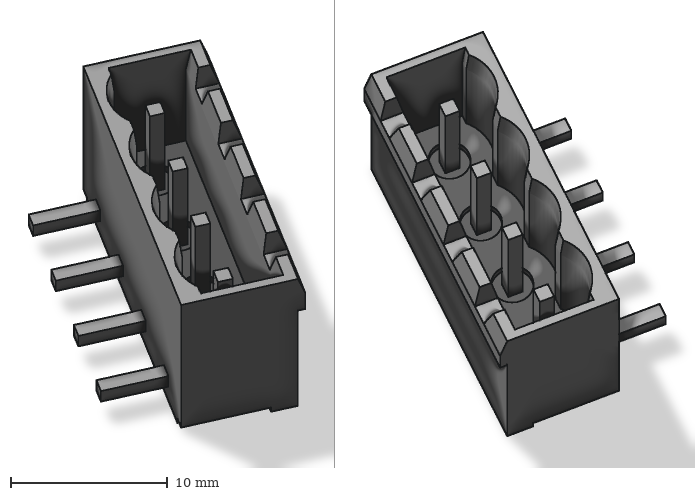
import cadquery as cq


pole_count = 4
pitch = 5.0
pin_size = 1.0
pin_y = 3.8
pin_top_z = 10.2
pin_tail_z = 1.85
pin_tail_length = 4.5

width = 21.6
depth = 7.8
height = 12.0

rail_depth = 0.5
rail_height = 3.0
rail_chamfer_height = 1.5

end_wall = 0.6
floor_z = 3.5
cavity_front_y = 1.71
cavity_back_y = 6.67
cavity_join_y = 2.5
scallop_width = 4.2
scallop_depth = 0.82
lead_in_depth = 1.7
back_lead_in_run = 0.33
front_lead_in_run = 0.2

recess_radius = 1.36
recess_depth = 0.5

notch_depth = 1.5
notch_top_width = 2.15
notch_bottom_width = 1.38

relief_width = 0.8
relief_length = 6.0
relief_height = 0.4

cavity_width = width - 2 * end_wall
pole_positions = [(i - (pole_count - 1) / 2) * pitch for i in range(pole_count)]


def extrude_across(profile_points, length):
    """Extrude a closed (y, z) profile along X, centred on the middle plane."""
    return cq.Workplane("YZ").polyline(profile_points).close().extrude(length / 2, both=True)


def make_housing():
    rail_y = depth + rail_depth
    rail_bottom_z = height - rail_height
    return extrude_across(
        [
            (0, 0),
            (depth, 0),
            (depth, rail_bottom_z),
            (rail_y, rail_bottom_z),
            (rail_y, height - rail_chamfer_height),
            (depth, height),
            (0, height),
        ],
        width,
    )


def front_outline(base_z):
    """Outline of the scalloped front part of the cavity at the given height."""
    half_width = cavity_width / 2
    outline = cq.Workplane("XY", origin=(0, 0, base_z)).moveTo(-half_width, cavity_join_y)
    outline = outline.lineTo(-half_width, cavity_front_y)
    for x in pole_positions:
        outline = outline.lineTo(x - scallop_width / 2, cavity_front_y)
        outline = outline.threePointArc(
            (x, cavity_front_y - scallop_depth),
            (x + scallop_width / 2, cavity_front_y),
        )
    return outline.lineTo(half_width, cavity_front_y).lineTo(half_width, cavity_join_y).close()


def make_front_part():
    """Scalloped front part of the cavity: upright, then slanting forward to the rim."""
    lead_in_z = height - lead_in_depth
    upright = front_outline(floor_z).extrude(lead_in_z - floor_z)
    slant = cq.Vector(0, -front_lead_in_run, lead_in_depth)
    lead_in = cq.Solid.extrudeLinear(front_outline(lead_in_z).val(), [], slant)
    return upright.union(cq.Workplane(lead_in))


def make_cavity():
    lead_in_z = height - lead_in_depth
    back_part = extrude_across(
        [
            (cavity_join_y, floor_z),
            (cavity_back_y, floor_z),
            (cavity_back_y, lead_in_z),
            (cavity_back_y + back_lead_in_run, height),
            (cavity_join_y - front_lead_in_run, height),
            (cavity_join_y, lead_in_z),
        ],
        cavity_width,
    )
    return back_part.union(make_front_part())


def make_recess(x):
    return (
        cq.Workplane("XY", origin=(x, pin_y, floor_z - recess_depth))
        .circle(recess_radius)
        .extrude(recess_depth)
    )


def make_notch(x):
    """Trapezoidal prism running through the back wall and the rail."""
    bottom_z = height - notch_depth
    profile = [
        (x - notch_top_width / 2, height),
        (x - notch_bottom_width / 2, bottom_z),
        (x + notch_bottom_width / 2, bottom_z),
        (x + notch_top_width / 2, height),
    ]
    back_y = depth + rail_depth
    return (
        cq.Workplane("XZ", origin=(0, back_y, 0))
        .polyline(profile)
        .close()
        .extrude(back_y - cavity_back_y)
    )


def make_relief(side):
    x = side * (width - relief_width) / 2
    return cq.Workplane("XY").box(
        relief_width, relief_length, relief_height, centered=(True, False, False)
    ).translate((x, 0, 0))


def make_pin(x):
    """Square pin: a tail leaving through the front face and an upright leg."""
    leg_back_y = pin_y + pin_size / 2
    leg_bottom_z = pin_tail_z - pin_size / 2
    tail = cq.Workplane("XY").box(
        pin_size, leg_back_y + pin_tail_length, pin_size, centered=(True, False, False)
    ).translate((x, -pin_tail_length, leg_bottom_z))
    leg = cq.Workplane("XY").box(
        pin_size, pin_size, pin_top_z - leg_bottom_z, centered=(True, True, False)
    ).translate((x, pin_y, leg_bottom_z))
    return tail.union(leg)


result = make_housing().cut(make_cavity())
for x in pole_positions:
    result = result.cut(make_recess(x)).cut(make_notch(x))
for side in (-1, 1):
    result = result.cut(make_relief(side))
for x in pole_positions:
    result = result.union(make_pin(x))